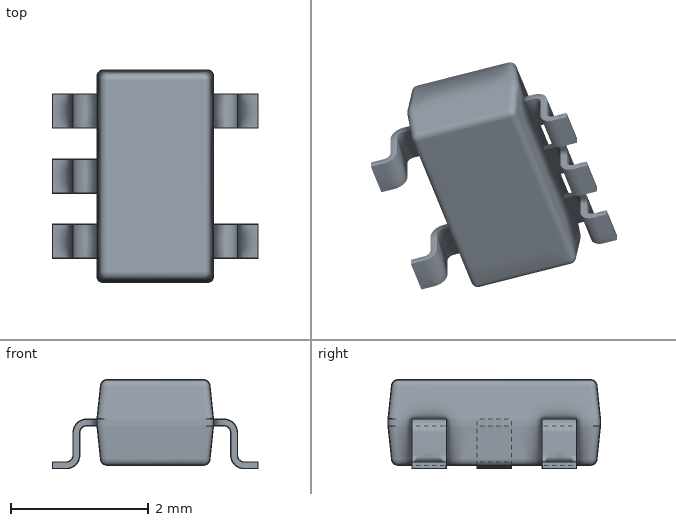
import cadquery as cq

overall_span = 3.0
top_height = 1.3

housing_width = 1.7
housing_length = 3.1
standoff = 0.05
draft_angle = 6.0
edge_radius = 0.1

lead_thickness = 0.1
lead_width = 0.5
lead_pitch = 0.95
foot_length = 0.2
inner_bend_radius = 0.1
outer_bend_radius = inner_bend_radius + lead_thickness

band_height = lead_thickness
band_bottom = (standoff + top_height - band_height) / 2
band_top = band_bottom + band_height

left_rows = (-lead_pitch, 0, lead_pitch)
right_rows = (-lead_pitch, lead_pitch)


def tapered_half(start_z, signed_height):
    """Half of the housing, narrowing away from the parting band."""
    return (
        cq.Workplane("XY")
        .workplane(offset=start_z)
        .rect(housing_width, housing_length)
        .extrude(signed_height, taper=draft_angle)
    )


def make_housing():
    """Moulded housing: straight band, drafted halves, all outer edges rounded."""
    band = (
        cq.Workplane("XY")
        .workplane(offset=band_bottom)
        .rect(housing_width, housing_length)
        .extrude(band_height)
    )
    upper = tapered_half(band_top, top_height - band_top)
    lower = tapered_half(band_bottom, standoff - band_bottom)
    block = band.union(upper).union(lower)

    corner_edges = block.edges("not #Z")
    rim_edges = block.faces("<Z or >Z").edges()
    return corner_edges.add(rim_edges).fillet(edge_radius)


def make_lead(row_y):
    """Gull-wing lead on the -X side, centred on row_y along Y."""
    tip_x = -overall_span / 2
    foot_end_x = tip_x + foot_length
    shank_inner_x = foot_end_x + outer_bend_radius
    shank_outer_x = shank_inner_x - lead_thickness
    shoulder_x = shank_outer_x + outer_bend_radius
    housing_x = -housing_width / 2

    profile = (
        cq.Workplane("XZ", origin=(0, row_y, 0))
        .moveTo(tip_x, 0)
        .lineTo(foot_end_x, 0)
        .radiusArc((shank_inner_x, outer_bend_radius), -outer_bend_radius)
        .lineTo(shank_inner_x, band_bottom - inner_bend_radius)
        .radiusArc((shoulder_x, band_bottom), inner_bend_radius)
        .lineTo(housing_x, band_bottom)
        .lineTo(housing_x, band_top)
        .lineTo(shoulder_x, band_top)
        .radiusArc((shank_outer_x, band_top - outer_bend_radius), -outer_bend_radius)
        .lineTo(shank_outer_x, outer_bend_radius)
        .radiusArc((foot_end_x, lead_thickness), inner_bend_radius)
        .lineTo(tip_x, lead_thickness)
        .close()
    )
    return profile.extrude(lead_width / 2, both=True)


housing = make_housing()
left_leads = [make_lead(row_y) for row_y in left_rows]
right_leads = [make_lead(row_y).mirror("YZ") for row_y in right_rows]
leads = left_leads + right_leads

result = cq.Compound.makeCompound([housing.val(), *[lead.val() for lead in leads]])